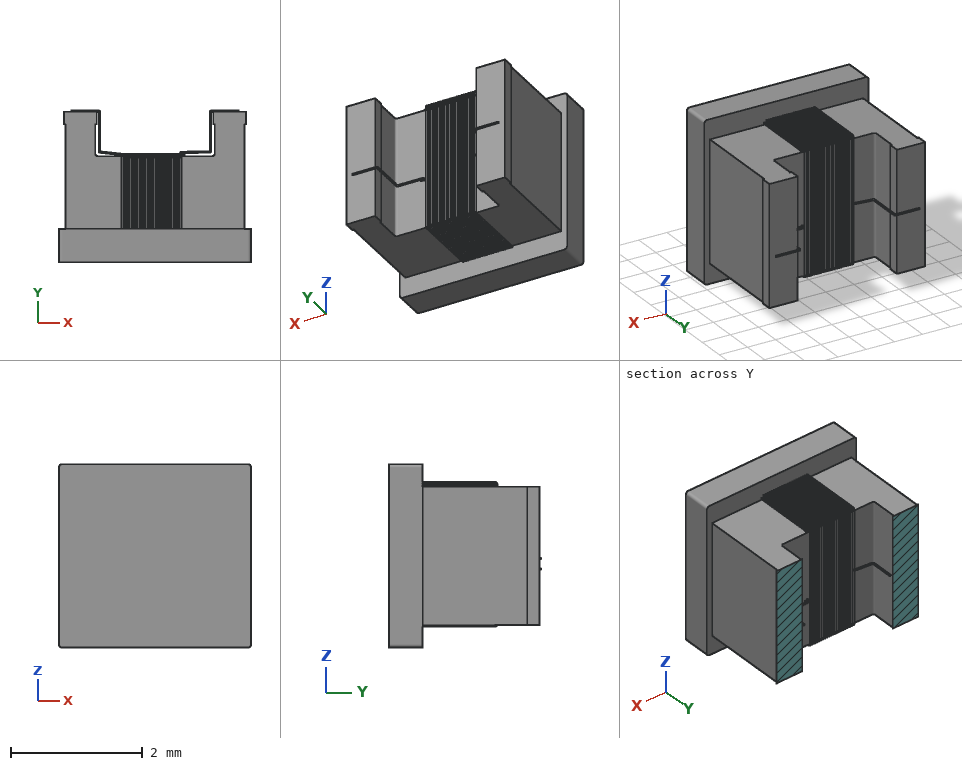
import cadquery as cq

plate_width = 2.92
plate_height = 2.79
plate_thickness = 0.51
plate_corner_radius = 0.053

core_width = 2.72
core_height = 2.102
shoulder_y = 2.097
notch_width = 1.81
notch_floor_y = 1.615
notch_corner_radius = 0.035

pad_end_y = 2.29
pad_overhang = 0.023

wire_diameter = 0.0248
wire_radius = wire_diameter / 2

layer_turn_count = 22
first_turn_x = -0.495
last_turn_x = 0.39
turn_pitch = (last_turn_x - first_turn_x) / layer_turn_count
layer_spacing = 0.035
winding_back_y = 1.638
winding_top_z = 1.113
winding_bottom_z = -1.065
turn_corner_radius = 0.038
anchor_depth = 0.058
turn_anchor_y = plate_thickness - anchor_depth

overall_depth = 2.31
lead_x = 0.845
lead_bend_y = 1.675
lead_tip_x = 1.273
lead_bend_radius = 0.018
left_lead_z = -0.04
right_lead_z = -0.2
tail_length = 0.06
right_lead_y = 1.67


def block(width, height, y_start, y_end, x_centre=0.0):
    """Box centred on Z = 0, running from y_start to y_end."""
    size_y = y_end - y_start
    return cq.Workplane("XY").box(width, size_y, height).translate(
        (x_centre, y_start + size_y / 2, 0)
    )


def make_plate():
    plate = block(plate_width, plate_height, 0, plate_thickness)
    return plate.edges("|Y").fillet(plate_corner_radius)


def make_core():
    core = block(core_width, core_height, plate_thickness, shoulder_y)
    notch = block(notch_width, core_height, notch_floor_y, shoulder_y)
    notch = notch.faces("<Y").edges("|Z").fillet(notch_corner_radius)
    return core.cut(notch)


def make_pad(side):
    leg_width = (core_width - notch_width) / 2
    leg_centre_x = side * (core_width + notch_width) / 4
    pad_width = leg_width + 2 * pad_overhang
    return block(pad_width, core_height, shoulder_y, pad_end_y, leg_centre_x)


def make_turn(x, inset):
    """One U-shaped turn over the top, back and bottom of the crossbar, both ends in the plate."""
    radius = turn_corner_radius
    back = winding_back_y - inset
    top = winding_top_z - inset
    bottom = winding_bottom_z + inset
    path = (
        cq.Workplane("YZ", origin=(x, 0, 0))
        .moveTo(turn_anchor_y, top)
        .lineTo(back - radius, top)
        .tangentArcPoint((back, top - radius), relative=False)
        .lineTo(back, bottom + radius)
        .tangentArcPoint((back - radius, bottom), relative=False)
        .lineTo(turn_anchor_y, bottom)
    )
    start = cq.Workplane("XZ", origin=(x, turn_anchor_y, top))
    return start.circle(wire_radius).sweep(path).val()


def make_winding():
    """Two layers of turns, the inner one shifted by one pitch towards +X."""
    turns = []
    for index in range(layer_turn_count):
        x = first_turn_x + index * turn_pitch
        turns.append(make_turn(x, 0))
        turns.append(make_turn(x + turn_pitch, layer_spacing))
    return turns


def make_lead(side, corners, z):
    """Wire through the given corners, then back along the leg and over the end of its pad.

    side is -1 for the left leg and +1 for the right one; X is measured towards that leg.
    """
    tip_y = overall_depth - wire_radius
    points = corners + [(lead_x, lead_bend_y), (lead_x, tip_y), (lead_tip_x, tip_y)]
    path = cq.Wire.makePolygon([cq.Vector(x, y, z) for x, y in points])
    bends = path.Vertices()[1:-1]
    path = path.fillet2D(lead_bend_radius, bends)
    start = cq.Plane(origin=path.startPoint(), normal=path.tangentAt(0))
    lead = cq.Workplane(start).circle(wire_radius).sweep(cq.Workplane(path))
    if side < 0:
        lead = lead.mirror("YZ")
    return lead.val()


def make_tail():
    """Free end of the winding, running sideways behind the crossbar."""
    start = cq.Vector(last_turn_x, winding_back_y, right_lead_z)
    return cq.Solid.makeCylinder(wire_radius, tail_length, start, cq.Vector(1, 0, 0))


left_lead = make_lead(-1, [(-first_turn_x, winding_back_y)], left_lead_z)
right_lead = make_lead(
    1,
    [(last_turn_x, winding_back_y - layer_spacing), (last_turn_x, right_lead_y)],
    right_lead_z,
)

body = make_plate().union(make_core()).union(make_pad(-1)).union(make_pad(1))
wires = make_winding() + [left_lead, right_lead, make_tail()]
result = cq.Workplane(body.val().fuse(*wires).Solids()[0])